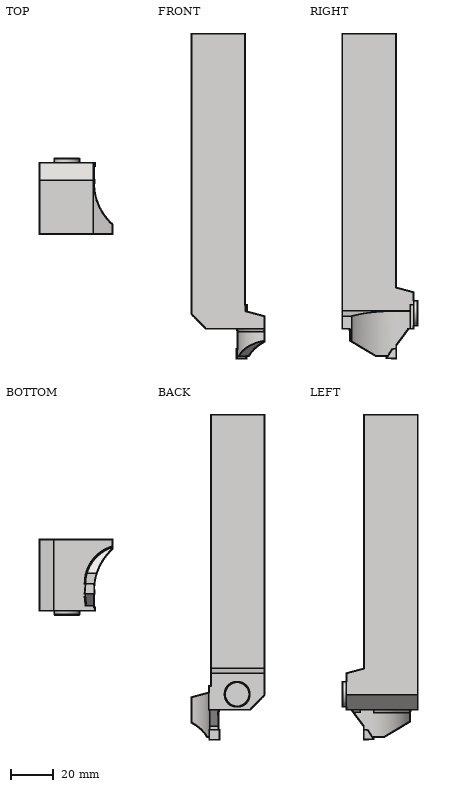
import cadquery as cq
import math

shank_side = 25.3
total_height = 152.4
head_bottom = 14.0
head_width = 34.5
head_depth = 33.5
ledge_angle = 15.0
side_ledge_z = 20.0
rear_ledge_z = 31.2
corner_x = 6.9
corner_z = 7.0

flank_x = 25.8
flank_start_y = 24.4
flank_mid = (28.8, 11.6)
flank_end_y = 4.4

lip_x = 26.2
lip_thickness = 1.7
lip_top = 25.3

screw_diameter = 11.9
screw_x = 13.0
screw_z = 21.3
screw_height = 2.0
screw_chamfer = 0.3

blade_x = 21.6
band_front_y = 20.7
band_rear_y = 27.0
blade_front_y = 3.7
blade_rear_y = 31.1
blade_rear_x = 22.1
blade_bottom = 1.2
blade_front_z = 8.5
blade_slope_y = 15.8
rear_slope_z = 6.4
collar_height = 1.2
collar_width = 0.5

insert_left = 21.2
insert_right = 26.0
insert_face_y = 25.5
insert_top = 4.7
insert_relief_z = 0.3
insert_relief_left = 0.5
insert_relief_right = 0.5
seat_y = 23.5
seat_z = 4.5
seat_foot_y = 21.3


def extrude_along_x(points, x_start, x_end):
    """Extrude a YZ outline between two X positions."""
    return cq.Workplane("YZ", origin=(x_start, 0, 0)).polyline(points).close().extrude(x_end - x_start)


def make_shank_and_head():
    slope = math.tan(math.radians(ledge_angle))
    side_root_z = side_ledge_z + (head_width - shank_side) * slope
    rear_root_z = rear_ledge_z + (head_depth - shank_side) * slope
    front_outline = [
        (corner_x, head_bottom), (head_width, head_bottom), (head_width, side_ledge_z),
        (shank_side, side_root_z), (shank_side, total_height),
        (0, total_height), (0, head_bottom + corner_z),
    ]
    side_outline = [
        (0, head_bottom), (head_depth, head_bottom), (head_depth, rear_ledge_z),
        (shank_side, rear_root_z), (shank_side, total_height), (0, total_height),
    ]
    body = cq.Workplane("XZ").polyline(front_outline).close().extrude(-head_depth)
    body = body.intersect(extrude_along_x(side_outline, 0, head_width))
    plan = (
        cq.Workplane("XY").moveTo(0, 0).lineTo(head_width, 0).lineTo(head_width, flank_end_y)
        .threePointArc(flank_mid, (flank_x, flank_start_y))
        .lineTo(flank_x, head_depth).lineTo(0, head_depth).close().extrude(total_height)
    )
    return body.intersect(plan)


def make_lip():
    start_x = shank_side
    return cq.Workplane("XY").box(
        lip_x - start_x, lip_thickness, lip_top - head_bottom, centered=False
    ).translate((start_x, head_depth - lip_thickness, head_bottom))


def make_screw_head():
    return (
        cq.Workplane("XZ", origin=(screw_x, head_depth, screw_z)).circle(screw_diameter / 2)
        .extrude(-screw_height).faces(">Y").chamfer(screw_chamfer)
    )


def blade_plan(margin):
    """Crescent outline at the head underside, its outer flank moved out by margin."""
    width = head_width - blade_x
    depth = band_front_y - blade_front_y
    radius = (width ** 2 + depth ** 2) / (2 * width)
    center_x = blade_x + radius
    radius += margin
    reach = head_width - center_x
    tip_y = band_front_y - math.sqrt(radius ** 2 - reach ** 2)
    mid_angle = math.radians(225)
    middle = (center_x + radius * math.cos(mid_angle), band_front_y + radius * math.sin(mid_angle))
    return (
        cq.Workplane("XY", origin=(0, 0, head_bottom))
        .moveTo(head_width, flank_end_y).lineTo(head_width, tip_y)
        .threePointArc(middle, (blade_x - margin, band_front_y))
        .lineTo(blade_x - margin, band_rear_y).lineTo(blade_rear_x - margin, blade_rear_y)
        .lineTo(flank_x, blade_rear_y).lineTo(flank_x, flank_start_y)
        .threePointArc(flank_mid, (head_width, flank_end_y)).close()
    )


def make_blade():
    body = blade_plan(0).extrude(blade_bottom - head_bottom)
    taper = math.degrees(math.atan(collar_width / collar_height))
    collar = blade_plan(collar_width).extrude(-collar_height, taper=taper)
    band_relief = cq.Workplane("XY").box(
        blade_x, band_rear_y - band_front_y, head_bottom, centered=False
    ).translate((0, band_front_y, 0))
    side_outline = [
        (0, head_bottom), (0, blade_front_z), (blade_front_y, blade_front_z),
        (blade_slope_y, blade_bottom), (insert_face_y, blade_bottom),
        (insert_face_y, rear_slope_z), (blade_rear_y, head_bottom),
    ]
    return body.union(collar.cut(band_relief)).intersect(extrude_along_x(side_outline, 0, head_width))


def make_insert():
    side_outline = [
        (insert_face_y, 0), (insert_face_y, insert_top), (seat_y, seat_z),
        (seat_foot_y, blade_bottom), (band_front_y, blade_bottom), (band_front_y, insert_relief_z),
    ]
    plan = [
        (insert_left, insert_face_y), (insert_right, insert_face_y),
        (insert_right - insert_relief_right, band_front_y),
        (insert_left + insert_relief_left, band_front_y),
    ]
    body = extrude_along_x(side_outline, insert_left, insert_right)
    return body.intersect(cq.Workplane("XY").polyline(plan).close().extrude(insert_top))


def make_insert_seat():
    """Clearance through the blade behind the insert."""
    outline = [
        (insert_face_y, 0), (insert_face_y, insert_top), (seat_y, seat_z),
        (seat_foot_y, blade_bottom), (seat_foot_y, 0),
    ]
    return extrude_along_x(outline, 0, head_width)


insert = make_insert()
holder = make_shank_and_head().union(make_lip()).union(make_screw_head())
holder = holder.union(make_blade().cut(make_insert_seat()))

result = cq.Compound.makeCompound([holder.val(), insert.val()])